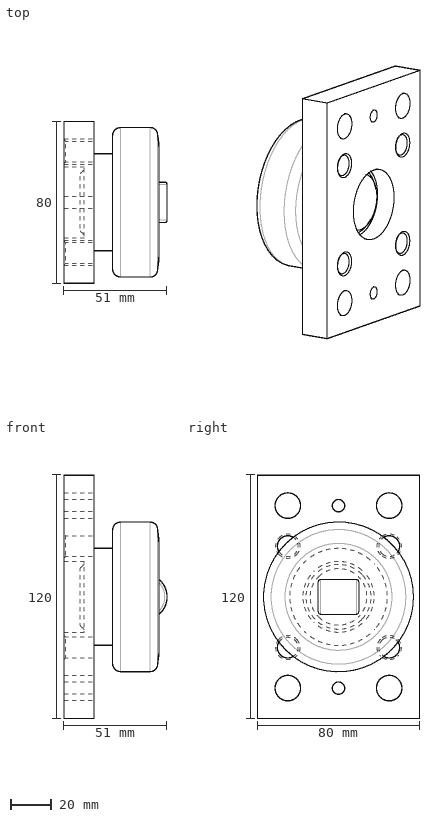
import cadquery as cq
import math

plate_height = 120.0
plate_width = plate_height * 2 / 3
plate_thickness = plate_height / 8

hole_column_y = plate_height * 5 / 24
outer_row_z = plate_height * 3 / 8
inner_row_z = hole_column_y
bolt_hole_diameter = 12.5
dowel_hole_diameter = 6.0
tapped_hole_diameter = 10.2
tapped_rim_diameter = 12.0

bore_diameter = 35.0
bore_depth = 10.0
pin_diameter = 32.0
pin_chamfer = 2.0
pin_face_depth = bore_depth - pin_chamfer

boss_radius = 24.0
roller_radius = 37.0
roller_back_x = 24.0
roller_front_x = 47.0
back_fillet = 4.1
front_fillet = 3.7
crown_drop = 0.7
crown_flat_radius = 26.4

overall_depth = 51.0
side_roller_radius = 11.3
side_roller_length = 20.0
side_roller_fillet = 1.2
side_roller_x = overall_depth - side_roller_radius


def cylinder_x(radius, start, end):
    """Solid cylinder on the X axis between two X positions."""
    return cq.Workplane("YZ", origin=(start, 0, 0)).circle(radius).extrude(end - start)


def through_plate(points, diameter):
    """Cutters running through the plate at the given (Y, Z) points."""
    return cq.Workplane("YZ").pushPoints(points).circle(diameter / 2).extrude(plate_thickness)


def make_plate():
    plate = cq.Workplane("XY").box(plate_thickness, plate_width, plate_height)
    plate = plate.translate((plate_thickness / 2, 0, 0))
    columns = (-hole_column_y, hole_column_y)
    bolt_points = [(y, z) for y in columns for z in (-outer_row_z, outer_row_z)]
    tapped_points = [(y, z) for y in columns for z in (-inner_row_z, inner_row_z)]
    dowel_points = [(0, -outer_row_z), (0, outer_row_z)]
    plate = plate.cut(through_plate(bolt_points, bolt_hole_diameter))
    plate = plate.cut(through_plate(dowel_points, dowel_hole_diameter))
    plate = plate.cut(through_plate(tapped_points, tapped_hole_diameter))

    rim_depth = (tapped_rim_diameter - tapped_hole_diameter) / 2
    for y, z in tapped_points:
        rim = cq.Solid.makeCone(
            tapped_rim_diameter / 2, tapped_hole_diameter / 2, rim_depth,
            cq.Vector(0, y, z), cq.Vector(1, 0, 0),
        )
        plate = plate.cut(cq.Workplane(rim))
    return plate


def make_main_roller():
    """Rounded roller with a shallow crowned front face."""
    shoulder_x = roller_front_x - crown_drop
    shoulder_radius = roller_radius - front_fillet
    crown_mid_radius = (shoulder_radius + crown_flat_radius) / 2
    crown_mid_x = roller_front_x - crown_drop / 4
    diagonal = math.sqrt(0.5)
    profile = (
        cq.Workplane("XY")
        .moveTo(roller_back_x, 0)
        .lineTo(roller_back_x, roller_radius - back_fillet)
        .radiusArc((roller_back_x + back_fillet, roller_radius), back_fillet)
        .lineTo(shoulder_x - front_fillet, roller_radius)
        .threePointArc(
            (
                shoulder_x - front_fillet * (1 - diagonal),
                roller_radius - front_fillet * (1 - diagonal),
            ),
            (shoulder_x, shoulder_radius),
        )
        .threePointArc((crown_mid_x, crown_mid_radius), (roller_front_x, crown_flat_radius))
        .lineTo(roller_front_x, 0)
        .close()
    )
    return profile.revolve(360, (0, 0, 0), (1, 0, 0))


def make_side_roller():
    roller = cq.Workplane("XZ", origin=(side_roller_x, 0, 0)).circle(side_roller_radius)
    roller = roller.extrude(side_roller_length / 2, both=True)
    return roller.faces("<Y or >Y").edges().fillet(side_roller_fillet)


def make_pin():
    pin = cylinder_x(pin_diameter / 2, pin_face_depth, plate_thickness)
    return pin.faces("<X").edges().chamfer(pin_chamfer)


plate = make_plate().cut(cylinder_x(bore_diameter / 2, 0, bore_depth))
boss = cylinder_x(boss_radius, plate_thickness, roller_back_x)
result = plate.union(make_pin()).union(boss).union(make_main_roller()).union(make_side_roller())